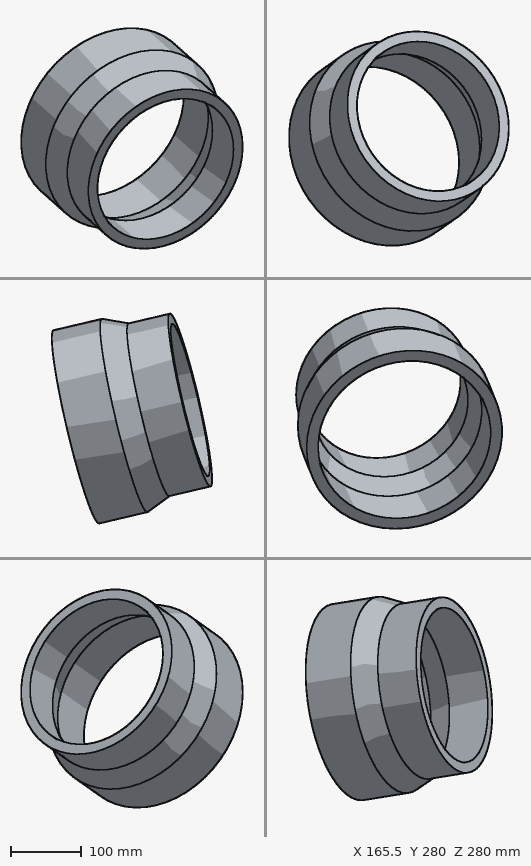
import cadquery as cq

large_outer_dia = 280.0
large_bore_dia = 247.0
small_outer_dia = 250.3
small_bore_dia = 220.5

total_length = 165.5
large_length = 70.3
taper_length = 35.3
taper_end = large_length + taper_length


def stepped_body(large_dia, small_dia):
    """Solid of revolution: large cylinder, cone, small cylinder."""
    large_radius = large_dia / 2
    small_radius = small_dia / 2
    return (
        cq.Workplane("XY")
        .moveTo(0, 0)
        .lineTo(0, large_radius)
        .lineTo(large_length, large_radius)
        .lineTo(taper_end, small_radius)
        .lineTo(total_length, small_radius)
        .lineTo(total_length, 0)
        .close()
        .revolve(360, (0, 0, 0), (1, 0, 0))
    )


outside = stepped_body(large_outer_dia, small_outer_dia)
bore = stepped_body(large_bore_dia, small_bore_dia)
result = outside.cut(bore)